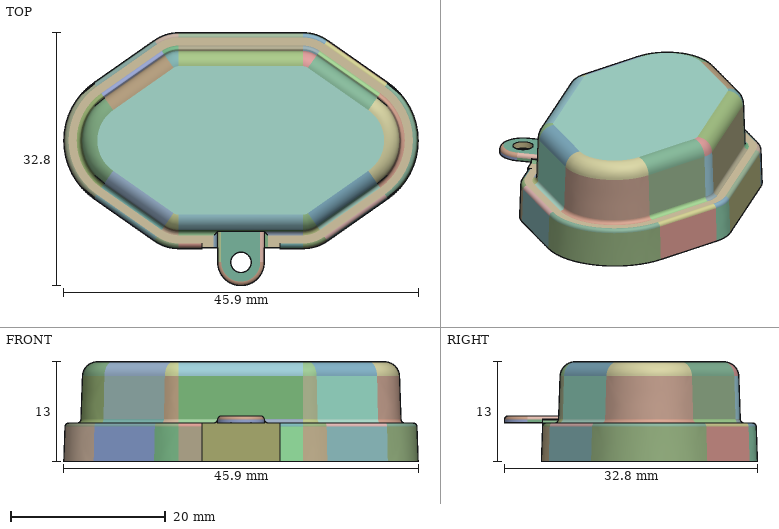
import cadquery as cq
import math

half_length = 22.95
half_width = 14.0
end_radius = 9.2
flat_half_length = 8.05
slope_angle = 35.0

flange_height = 5.0
cover_height = 12.95

draft_angle = 2.0
cover_inset = 2.2
top_fillet = 1.98
small_fillet = 0.5

pad_half_width = 5.05
pad_y = -13.87
pad_depth = 1.4

tab_thickness = 0.9
tab_radius = 3.05
tab_hole_diameter = 2.6
tab_center_y = -15.75
tab_root_y = -9.2

sin_slope = math.sin(math.radians(slope_angle))
cos_slope = math.cos(math.radians(slope_angle))

end_center_x = half_length - end_radius
side_distance = end_center_x * sin_slope + end_radius
corner_radius = (side_distance - flat_half_length * sin_slope - half_width * cos_slope) / (1 - cos_slope)


def outline(z, inset=0.0):
    """Closed base outline at height z, moved inwards by inset."""
    corner_r = corner_radius - inset
    end_r = end_radius - inset
    corner_y = half_width - corner_radius
    half_angle = math.radians(slope_angle / 2)

    flat_y = half_width - inset
    corner_mid = (flat_half_length + corner_r * math.sin(half_angle), corner_y + corner_r * math.cos(half_angle))
    corner_end = (flat_half_length + corner_r * sin_slope, corner_y + corner_r * cos_slope)
    end_start = (end_center_x + end_r * sin_slope, end_r * cos_slope)
    end_mid = (half_length - inset, 0)

    def place(point, sign_x, sign_y):
        return (sign_x * point[0], sign_y * point[1])

    return (
        cq.Workplane("XY", origin=(0, 0, z))
        .moveTo(-flat_half_length, flat_y)
        .lineTo(flat_half_length, flat_y)
        .threePointArc(corner_mid, corner_end)
        .lineTo(*end_start)
        .threePointArc(end_mid, place(end_start, 1, -1))
        .lineTo(*place(corner_end, 1, -1))
        .threePointArc(place(corner_mid, 1, -1), (flat_half_length, -flat_y))
        .lineTo(-flat_half_length, -flat_y)
        .threePointArc(place(corner_mid, -1, -1), place(corner_end, -1, -1))
        .lineTo(*place(end_start, -1, -1))
        .threePointArc(place(end_mid, -1, 1), place(end_start, -1, 1))
        .lineTo(*place(corner_end, -1, 1))
        .threePointArc(place(corner_mid, -1, 1), (-flat_half_length, flat_y))
        .close()
    )


def box(x_min, x_max, y_min, y_max, z_min, z_max):
    size = (x_max - x_min, y_max - y_min, z_max - z_min)
    return cq.Workplane("XY").box(*size, centered=False).translate((x_min, y_min, z_min))


def make_flange():
    flange = outline(0).extrude(flange_height, taper=draft_angle)
    return flange.faces(">Z").edges().fillet(small_fillet)


def make_cover():
    wall_height = cover_height - flange_height
    cover = outline(flange_height, cover_inset).extrude(wall_height, taper=draft_angle)
    return cover.faces(">Z").edges().fillet(top_fillet)


def fill_foot(body):
    """Concave blend where the cover wall meets the flange."""
    margin = small_fillet / 2
    reach_x = half_length - cover_inset + margin
    reach_y = half_width - cover_inset + margin
    foot = cq.selectors.BoxSelector(
        (-reach_x, -reach_y, flange_height - margin),
        (reach_x, reach_y, flange_height + margin),
        boundingbox=True,
    )
    return body.edges(foot).fillet(small_fillet)


def add_pad(body):
    """Upright, sharp-edged face across the middle of the -Y side."""
    excess = box(-pad_half_width, pad_half_width, pad_y - pad_depth, pad_y, 0, flange_height)
    pad = box(-pad_half_width, pad_half_width, pad_y, pad_y + pad_depth, 0, flange_height)
    return body.cut(excess).union(pad)


def make_tab():
    tab = (
        cq.Workplane("XY", origin=(0, 0, flange_height))
        .moveTo(-tab_radius, tab_root_y)
        .lineTo(-tab_radius, tab_center_y)
        .threePointArc((0, tab_center_y - tab_radius), (tab_radius, tab_center_y))
        .lineTo(tab_radius, tab_root_y)
        .close()
        .extrude(tab_thickness)
        .faces(">Z")
        .edges("not >Y")
        .fillet(small_fillet)
    )
    hole = (
        cq.Workplane("XY", origin=(0, tab_center_y, flange_height))
        .circle(tab_hole_diameter / 2)
        .extrude(tab_thickness)
    )
    return tab.cut(hole)


def make_tab_foot(side):
    """Concave strip between the flange top and one side of the tab."""
    return (
        cq.Workplane("XZ", origin=(0, tab_root_y, 0))
        .moveTo(side * tab_radius, flange_height)
        .lineTo(side * (tab_radius + small_fillet), flange_height)
        .radiusArc((side * tab_radius, flange_height + small_fillet), side * small_fillet)
        .close()
        .extrude(tab_root_y - pad_y)
    )


body = fill_foot(make_flange().union(make_cover()))
result = add_pad(body).union(make_tab())
for side in (-1, 1):
    result = result.union(make_tab_foot(side))